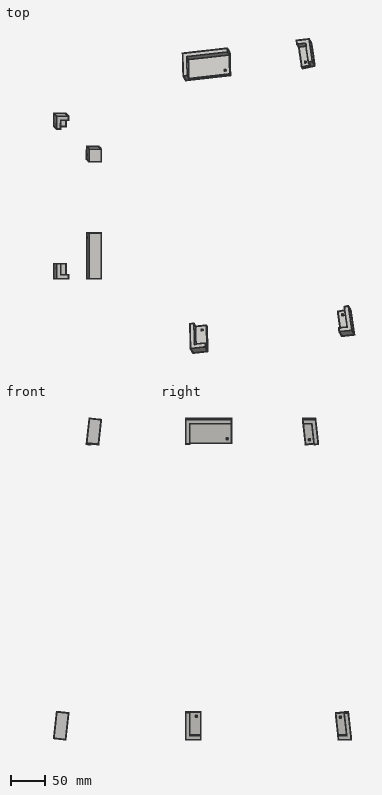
import cadquery as cq
import math

SPAN_X = 69.5
SPAN_Y = 242.2
SPAN_Z = 470.5

LEAN_RUN = 1.0
LEAN_RISE = 9.0
LEAN = math.degrees(math.atan(LEAN_RUN / LEAN_RISE))
COS = math.cos(math.radians(LEAN))
SIN = math.sin(math.radians(LEAN))
TAN = SIN / COS

SIDE_HEIGHT = (SPAN_Z * COS - SPAN_X * SIN) / (COS**2 - SIN**2)
WIDTH = (SPAN_X * COS - SPAN_Z * SIN) / (COS**2 - SIN**2)

WALL = 6.0
LOWER_HEIGHT = 39.5
UPPER_HEIGHT = 36.0
LOWER_FRONT_DEPTH = 22.0
UPPER_FRONT_DEPTH = 67.3
BACK_DEPTH = 19.0

HOLE_DIAMETER = 2.5
HOLE_INSET = 6.5


def slab(outline, x_start, x_end):
    """Extrude a (y, z) outline along X."""
    return cq.Workplane("YZ", origin=(x_start, 0, 0)).polyline(outline).close().extrude(x_end - x_start)


def drill_side_wall(body, y, z):
    hole = cq.Workplane("YZ").center(y, z).circle(HOLE_DIAMETER / 2).extrude(WALL)
    return body.cut(hole)


def set_upright_piece(body):
    """Lean a finished piece into place, with the lowest edge of the set at Z = 0."""
    return body.rotate((0, 0, 0), (0, 1, 0), LEAN).translate((0, 0, WIDTH * SIN))


def front_corner(depth, height, closed_z, inward):
    """Side wall, front wall and end plate; inward is +1 above a floor, -1 below a ceiling."""
    def outline(y_start, plate):
        z_plate = closed_z + inward * plate
        z_open = closed_z + inward * height
        return [(y_start, z_plate), (depth, z_plate), (depth, z_open), (y_start, z_open)]

    body = slab(outline(0, 0), 0, WIDTH)
    body = body.cut(slab(outline(WALL, WALL), WALL, WIDTH))
    body = drill_side_wall(body, depth - HOLE_INSET, closed_z + inward * (height - HOLE_INSET))
    return set_upright_piece(body)


def back_corner(height, closed_z, inward):
    """Like a front corner, but the back wall leans and the open end is square to it."""
    def back_y(z):
        return SPAN_Y - z * TAN

    def outline(wall, plate):
        z_plate = closed_z + inward * plate
        z_open = closed_z + inward * height
        y_plate = back_y(z_plate)
        y_open = back_y(z_open)
        return [
            (y_plate - BACK_DEPTH / COS, z_plate),
            (y_plate - wall / COS, z_plate),
            (y_open - wall * COS, z_open - wall * SIN),
            (y_open - BACK_DEPTH * COS, z_open - BACK_DEPTH * SIN),
        ]

    body = slab(outline(0, 0), 0, WIDTH)
    body = body.cut(slab(outline(WALL, WALL), WALL, WIDTH))

    corner_y, corner_z = outline(0, 0)[3]
    hole_y = corner_y + HOLE_INSET * (COS + inward * SIN)
    hole_z = corner_z + HOLE_INSET * (SIN - inward * COS)
    return set_upright_piece(drill_side_wall(body, hole_y, hole_z))


lower_front = front_corner(LOWER_FRONT_DEPTH, LOWER_HEIGHT, 0, 1)
upper_front = front_corner(UPPER_FRONT_DEPTH, UPPER_HEIGHT, SIDE_HEIGHT, -1)
lower_back = back_corner(LOWER_HEIGHT, 0, 1)
upper_back = back_corner(UPPER_HEIGHT, SIDE_HEIGHT, -1)

result = cq.Compound.makeCompound(
    [lower_front.val(), upper_front.val(), lower_back.val(), upper_back.val()]
)